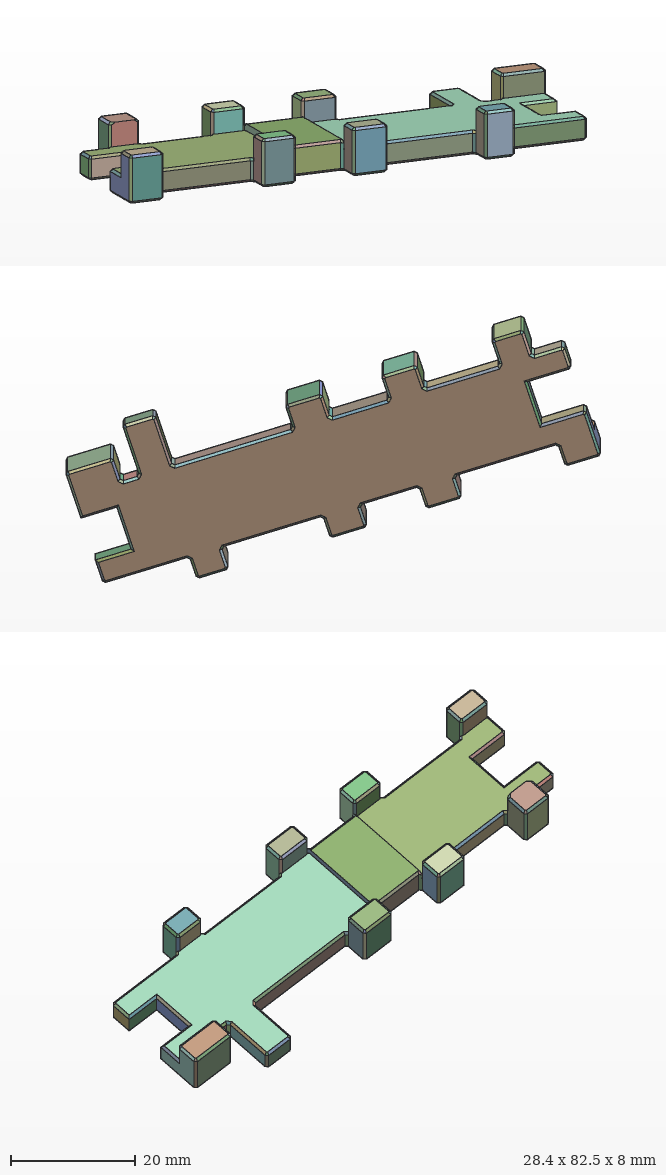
import cadquery as cq


length = 82.5
half_length = length / 2
plate_half_width = 7.75
plate_height = 4.0
saddle_height = 5.1
block_height = 8.0
bevel = 0.4

west_reach = 12.0
east_reach = 11.6
south_west_reach = 12.4
tab_reach = 16.75

saddle_span = (-11.9, -1.9)
upper_middle_span = (saddle_span[1], 4.3)
lower_middle_span = (-17.8, saddle_span[0])
north_west_span = (33.25, half_length)
north_east_span = (21.4, 26.7)
south_west_span = (-35.9, -30.5)
south_east_span = (-half_length, -35.2)
tab_span = (24.6, 30.1)

notch_half_width = 3.7
notch_middle = -0.1
north_notch_depth = 6.0
south_notch_depth = 7.4

west_block = (-plate_half_width, -west_reach)
south_west_block = (-plate_half_width, -south_west_reach)
east_block = (plate_half_width, east_reach)

standard_blocks = [
    (west_block, north_west_span),
    (west_block, upper_middle_span),
    (west_block, lower_middle_span),
    (east_block, north_east_span),
    (east_block, upper_middle_span),
    (east_block, lower_middle_span),
    (east_block, south_east_span),
]


def box_between(x_ends, y_ends, height):
    """Box standing on Z = 0 between the given X and Y limits."""
    x_low, x_high = sorted(x_ends)
    y_low, y_high = y_ends
    box = cq.Workplane("XY").box(x_high - x_low, y_high - y_low, height, centered=False)
    return box.translate((x_low, y_low, 0))


def north_notch(height):
    """Plain rectangular notch in the north end."""
    sides = (notch_middle - notch_half_width, notch_middle + notch_half_width)
    return box_between(sides, (half_length - north_notch_depth, half_length), height)


def south_notch(height):
    """Rectangular notch in the south end whose mouth flares out by the bevel."""
    left = notch_middle - notch_half_width
    right = notch_middle + notch_half_width
    mouth = -half_length
    floor = mouth + south_notch_depth
    outline = [
        (left - bevel, mouth),
        (left, mouth + bevel),
        (left, floor),
        (right, floor),
        (right, mouth + bevel),
        (right + bevel, mouth),
    ]
    return cq.Workplane("XY").polyline(outline).close().extrude(height)


def footprint(height):
    """Outline of the plate, blocks and tab, raised to one height and bevelled."""
    body = box_between((-plate_half_width, plate_half_width), (-half_length, half_length), height)
    for (_, outer_x), span in standard_blocks:
        body = body.union(box_between((0, outer_x), span, height))
    body = body.union(box_between((0, -south_west_reach), south_west_span, height))
    body = body.union(box_between((0, -tab_reach), tab_span, height))

    body = body.edges("|Z").chamfer(bevel)
    body = body.cut(north_notch(height)).cut(south_notch(height))
    return body.faces("<Z or >Z").edges().chamfer(bevel)


def tall_block(x_ends, span, sharp_top_edge=None):
    """Tall block with bevelled edges; one top edge can be left sharp by naming its direction."""
    body = box_between(x_ends, span, block_height)
    body = body.edges("|Z").chamfer(bevel).faces("<Z").edges().chamfer(bevel)
    top_edges = f"not {sharp_top_edge}" if sharp_top_edge else None
    return body.faces(">Z").edges(top_edges).chamfer(bevel)


plate = footprint(plate_height)
saddle_zone = box_between((-west_reach, east_reach), saddle_span, saddle_height)
saddle = footprint(saddle_height).intersect(saddle_zone)
result = plate.union(saddle)

for x_ends, span in standard_blocks:
    result = result.union(tall_block(x_ends, span))
result = result.union(tall_block(south_west_block, south_west_span, sharp_top_edge=">X"))